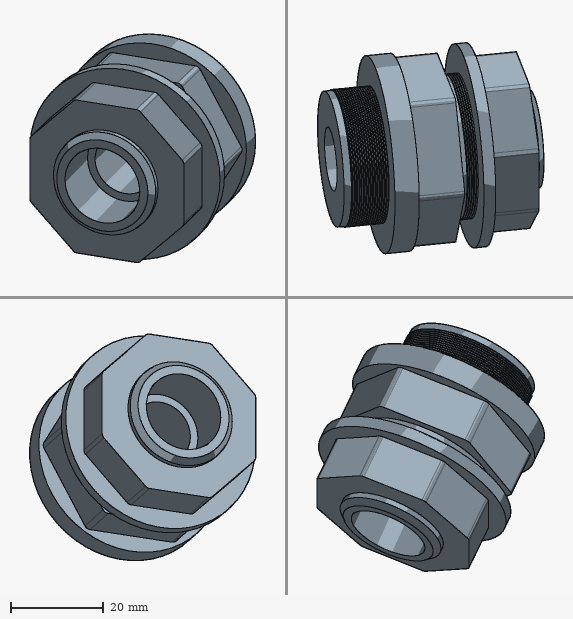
import cadquery as cq
import math

NOSE_CHAMFER = 1.3
NOSE_END = 2.55
CAP_OCTAGON_END = 12.95
CAP_FLANGE_END = 15.55
STEM_START = CAP_OCTAGON_END
COLLAR_END = 19.45
HEX_END = 29.7
BODY_FLANGE_END = 35.05
REAR_THREAD_END = 43.35
REAR_END = 44.95

NOSE_RADIUS = 11.95
CAP_BORE_RADIUS = 8.7
CAP_FLANGE_RADIUS = 44.45 / 2
STEM_RADIUS = 15.9
BODY_FLANGE_RADIUS = 21.6
REAR_RADIUS = 14.85
BODY_BORE_RADIUS = 6.95

ACROSS_FLATS = 36.0
CORNER_FILLET = 1.35

REAR_FLANKS = 32
REAR_THREAD_LAND = 0.15
FRONT_FLANKS = 10
FLANK_LENGTH = (REAR_THREAD_END - BODY_FLANGE_END - 2 * REAR_THREAD_LAND) / REAR_FLANKS
REAR_THREAD_DEPTH = 0.2
FRONT_THREAD_DEPTH = 0.29
COLLAR_START = CAP_FLANGE_END + FRONT_FLANKS * FLANK_LENGTH


def cylinder(radius, start, end):
    """Solid cylinder on the Y axis between two stations."""
    return cq.Workplane("XZ", origin=(0, start, 0)).circle(radius).extrude(start - end)


def wrench_prism(sides, start, end):
    """Regular prism with rounded corners and flats facing +Z and -Z."""
    corner_radius = ACROSS_FLATS / 2 / math.cos(math.pi / sides)
    first_angle = math.pi / 2 - math.pi / sides
    corners = []
    for index in range(sides):
        angle = first_angle + 2 * math.pi * index / sides
        corners.append((corner_radius * math.cos(angle), corner_radius * math.sin(angle)))
    prism = cq.Workplane("XZ", origin=(0, start, 0)).polyline(corners).close().extrude(start - end)
    return prism.edges("|Y").fillet(CORNER_FILLET)


def ring_thread(root_radius, depth, start, flanks, land=0.0):
    """Ringed cylinder running toward -Y from `start`, with a flat land of crest radius at each end."""
    crest_radius = root_radius + depth
    end = start - flanks * FLANK_LENGTH - 2 * land
    outline = [(0, start)]
    if land > 0:
        outline.append((crest_radius, start))
    for index in range(flanks + 1):
        radius = crest_radius if index % 2 == 0 else root_radius
        outline.append((radius, start - land - index * FLANK_LENGTH))
    if land > 0:
        outline.append((crest_radius, end))
    outline.append((0, end))
    return cq.Workplane("XY").polyline(outline).close().revolve(360, (0, 0), (0, 1))


def make_cap():
    nose = cylinder(NOSE_RADIUS, 0, NOSE_END).faces("<Y").chamfer(NOSE_CHAMFER)
    octagon = wrench_prism(8, NOSE_END, CAP_OCTAGON_END)
    flange = cylinder(CAP_FLANGE_RADIUS, CAP_OCTAGON_END, CAP_FLANGE_END)
    bore = cylinder(CAP_BORE_RADIUS, 0, CAP_FLANGE_END)
    stem_recess = cylinder(STEM_RADIUS, STEM_START, CAP_FLANGE_END)
    return nose.union(octagon).union(flange).cut(bore).cut(stem_recess)


def make_body():
    stem = cylinder(STEM_RADIUS, STEM_START, CAP_FLANGE_END)
    front_thread = ring_thread(
        STEM_RADIUS - FRONT_THREAD_DEPTH, FRONT_THREAD_DEPTH, COLLAR_START, FRONT_FLANKS
    )
    collar = cylinder(STEM_RADIUS, COLLAR_START, COLLAR_END)
    hexagon = wrench_prism(6, COLLAR_END, HEX_END)
    flange = cylinder(BODY_FLANGE_RADIUS, HEX_END, BODY_FLANGE_END)
    rear_thread = ring_thread(
        REAR_RADIUS, REAR_THREAD_DEPTH, REAR_THREAD_END, REAR_FLANKS, REAR_THREAD_LAND
    )
    rear_end = cylinder(REAR_RADIUS, REAR_THREAD_END, REAR_END)
    bore = cylinder(BODY_BORE_RADIUS, STEM_START, REAR_END)
    body = stem
    for section in (front_thread, collar, hexagon, flange, rear_thread, rear_end):
        body = body.union(section)
    return body.cut(bore)


cap = make_cap()
body = make_body()
result = cq.Compound.makeCompound([cap.solids().val(), body.solids().val()])